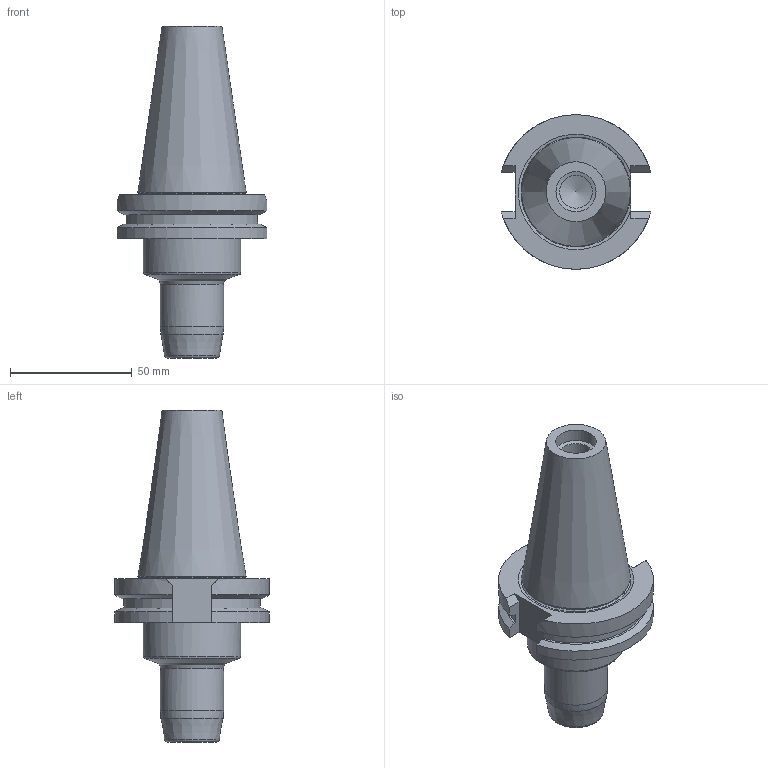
import cadquery as cq
import math

TOTAL_LENGTH = 136.25
TAPER_LENGTH = 68.25
BOTTOM_Z = TAPER_LENGTH - TOTAL_LENGTH
FLANGE_TOP_Z = -1.0
FLANGE_BOTTOM_Z = -19.1
GROOVE_CENTER_Z = -11.1
COLLAR_BOTTOM_Z = -33.5
NOSE_BEND_TOP_Z = -55.0
NOSE_BEND_BOTTOM_Z = -58.3

GAUGE_RADIUS = 44.45 / 2
TAPER_RATIO = 7 / 24
TAPER_TOP_RADIUS = GAUGE_RADIUS - TAPER_LENGTH * TAPER_RATIO / 2
RELIEF_RADIUS = 43.85 / 2
RELIEF_CHAMFER = GAUGE_RADIUS - RELIEF_RADIUS
RELIEF_DEPTH = 0.35
RELIEF_FLOOR_RADIUS = 45.1 / 2
RELIEF_OUTER_RADIUS = 47.4 / 2

FLANGE_RADIUS = 63.5 / 2
GROOVE_FLOOR_RADIUS = 56.25 / 2
GROOVE_FLOOR_WIDTH = 3.9
GROOVE_MOUTH_WIDTH = 7.0
GROOVE_FLANK_ANGLE = math.radians(30)
SLOT_WIDTH = 16.1
SLOT_FLOOR_LEFT = 25.0
SLOT_FLOOR_RIGHT = 22.5
SLOT_CHAMFER = 2.8

COLLAR_RADIUS = 40 / 2
COLLAR_EDGE_FILLET = 0.8
COLLAR_CONE_ANGLE = math.radians(20)
NOSE_RADIUS = 26 / 2
NECK_FILLET = 2.3
TIP_TAPER_ANGLE = math.radians(9.5)
TIP_FILLET = 1.0

COUNTERBORE_DIAMETER = 16.48
COUNTERBORE_DEPTH = 5.2
BORE_DIAMETER = 13.5
BORE_DEPTH = 30.0
DRILL_POINT_ANGLE = math.radians(140)


def revolve_about_z(profile):
    """Turn a closed (radius, Z) profile drawn on XZ once around the Z axis."""
    return profile.close().revolve(360, (0, 0, 0), (0, 1, 0))


def edges_at_height(solid, z, tolerance=0.05):
    """Edges lying wholly at one height."""
    reach = 2 * FLANGE_RADIUS
    return solid.edges(
        cq.selectors.BoxSelector(
            (-reach, -reach, z - tolerance), (reach, reach, z + tolerance), boundingbox=True
        )
    )


def taper():
    """Steep taper, the chamfered neck under it and the concave foot of the neck."""
    relief_z = FLANGE_TOP_Z - RELIEF_DEPTH
    foot_radius = RELIEF_FLOOR_RADIUS - RELIEF_RADIUS
    return revolve_about_z(
        cq.Workplane("XZ")
        .moveTo(0, relief_z)
        .lineTo(RELIEF_FLOOR_RADIUS, relief_z)
        .radiusArc((RELIEF_RADIUS, relief_z + foot_radius), foot_radius)
        .lineTo(RELIEF_RADIUS, -RELIEF_CHAMFER)
        .lineTo(GAUGE_RADIUS, 0)
        .lineTo(TAPER_TOP_RADIUS, TAPER_LENGTH)
        .lineTo(0, TAPER_LENGTH)
    )


def flange():
    """Flange disc with the stepped gripper groove and a shallow conical dish around the neck."""
    relief_z = FLANGE_TOP_Z - RELIEF_DEPTH
    half_floor = GROOVE_FLOOR_WIDTH / 2
    half_mouth = GROOVE_MOUTH_WIDTH / 2
    ledge_radius = FLANGE_RADIUS - (half_mouth - half_floor) / math.tan(GROOVE_FLANK_ANGLE)
    return revolve_about_z(
        cq.Workplane("XZ")
        .moveTo(0, FLANGE_BOTTOM_Z)
        .lineTo(FLANGE_RADIUS, FLANGE_BOTTOM_Z)
        .lineTo(FLANGE_RADIUS, GROOVE_CENTER_Z - half_mouth)
        .lineTo(ledge_radius, GROOVE_CENTER_Z - half_floor)
        .lineTo(GROOVE_FLOOR_RADIUS, GROOVE_CENTER_Z - half_floor)
        .lineTo(GROOVE_FLOOR_RADIUS, GROOVE_CENTER_Z + half_floor)
        .lineTo(ledge_radius, GROOVE_CENTER_Z + half_floor)
        .lineTo(FLANGE_RADIUS, GROOVE_CENTER_Z + half_mouth)
        .lineTo(FLANGE_RADIUS, FLANGE_TOP_Z)
        .lineTo(RELIEF_OUTER_RADIUS, FLANGE_TOP_Z)
        .lineTo(RELIEF_FLOOR_RADIUS, relief_z)
        .lineTo(0, relief_z)
    )


def nose():
    """Collar, conical shoulder, straight nose and its smoothly bent conical tip."""
    shoulder_drop = (COLLAR_RADIUS - NOSE_RADIUS) * math.tan(COLLAR_CONE_ANGLE)
    shoulder_z = COLLAR_BOTTOM_Z - shoulder_drop
    bend_height = NOSE_BEND_TOP_Z - NOSE_BEND_BOTTOM_Z
    tip_height = NOSE_BEND_BOTTOM_Z - BOTTOM_Z
    bend_radius = bend_height / math.sin(TIP_TAPER_ANGLE)
    bend_end_radius = NOSE_RADIUS - bend_radius * (1 - math.cos(TIP_TAPER_ANGLE))
    tip_radius = bend_end_radius - tip_height * math.tan(TIP_TAPER_ANGLE)
    body = revolve_about_z(
        cq.Workplane("XZ")
        .moveTo(0, FLANGE_BOTTOM_Z)
        .lineTo(COLLAR_RADIUS, FLANGE_BOTTOM_Z)
        .lineTo(COLLAR_RADIUS, COLLAR_BOTTOM_Z)
        .lineTo(NOSE_RADIUS, shoulder_z)
        .lineTo(NOSE_RADIUS, NOSE_BEND_TOP_Z)
        .tangentArcPoint((bend_end_radius, NOSE_BEND_BOTTOM_Z), relative=False)
        .lineTo(tip_radius, BOTTOM_Z)
        .lineTo(0, BOTTOM_Z)
    )
    body = edges_at_height(body, COLLAR_BOTTOM_Z).fillet(COLLAR_EDGE_FILLET)
    body = edges_at_height(body, shoulder_z).fillet(NECK_FILLET)
    return edges_at_height(body, BOTTOM_Z).fillet(TIP_FILLET)


def drive_slot(direction, floor_distance):
    """Cutter for one slot through the flange; its mouth is chamfered at the top."""
    half_width = SLOT_WIDTH / 2
    half_mouth = half_width + SLOT_CHAMFER
    section = [
        (-half_width, FLANGE_BOTTOM_Z),
        (half_width, FLANGE_BOTTOM_Z),
        (half_width, FLANGE_TOP_Z - SLOT_CHAMFER),
        (half_mouth, FLANGE_TOP_Z),
        (-half_mouth, FLANGE_TOP_Z),
        (-half_width, FLANGE_TOP_Z - SLOT_CHAMFER),
    ]
    return (
        cq.Workplane("YZ", origin=(direction * floor_distance, 0, 0))
        .polyline(section)
        .close()
        .extrude(direction * FLANGE_RADIUS)
    )


def bore():
    """Cutter for the counterbored blind hole; the ledge and the bottom share the drill-point slope."""
    bore_radius = BORE_DIAMETER / 2
    counterbore_radius = COUNTERBORE_DIAMETER / 2
    ledge_z = TAPER_LENGTH - COUNTERBORE_DEPTH
    ledge_drop = (counterbore_radius - bore_radius) / math.tan(DRILL_POINT_ANGLE / 2)
    bore_end_z = TAPER_LENGTH - BORE_DEPTH
    point_z = bore_end_z - bore_radius / math.tan(DRILL_POINT_ANGLE / 2)
    return revolve_about_z(
        cq.Workplane("XZ")
        .moveTo(0, point_z)
        .lineTo(bore_radius, bore_end_z)
        .lineTo(bore_radius, ledge_z - ledge_drop)
        .lineTo(counterbore_radius, ledge_z)
        .lineTo(counterbore_radius, TAPER_LENGTH)
        .lineTo(0, TAPER_LENGTH)
    )


slotted_flange = (
    flange()
    .cut(drive_slot(-1, SLOT_FLOOR_LEFT))
    .cut(drive_slot(1, SLOT_FLOOR_RIGHT))
)
result = taper().union(slotted_flange).union(nose()).cut(bore())